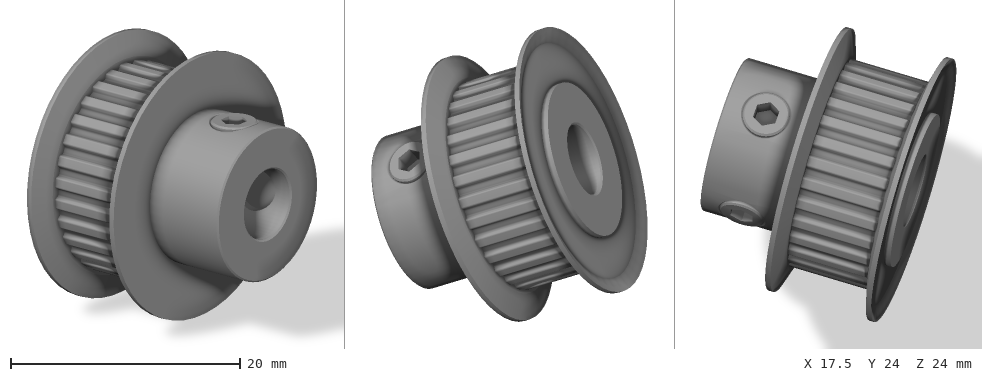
import cadquery as cq
import math

total_length = 17.47
front_rim_start = 0.15
toothed_start = 1.25
toothed_end = 8.62
rim_width = 0.48
front_rim_end = front_rim_start + rim_width
rear_rim_start = 9.38
rear_rim_end = rear_rim_start + rim_width

flange_radius = 12.0
flange_cone_radius = 9.8
recess_floor_radius = 10.68
hub_radius = 6.95
bore_radius = 3.2
hub_chamfer = 0.15
bore_chamfer = 0.15

tooth_count = 30
tooth_radius = 9.45
groove_depth = 0.43
groove_floor_half_width = 0.2
groove_fillet = 0.18
groove_wall_slope = math.radians(60)

screw_angles = (0, 90)
screw_x = 13.68
screw_radius = 2.06
screw_chamfer_width = 0.17
screw_chamfer_height = 0.15
hole_chamfer = 0.15
socket_across_flats = 2.05
socket_depth = 1.68


def revolve_about_x(outline):
    """Turn a closed list of (x, radius) points into a solid of revolution about X."""
    return cq.Workplane("XZ").polyline(outline).close().revolve(360, (0, 0, 0), (1, 0, 0))


def turn_about_x(body, angle):
    return body.rotate((0, 0, 0), (1, 0, 0), angle)


def make_front_flange():
    """Dished disc: its rim is bent outward and its recessed floor lies level with the rim's inner edge."""
    return revolve_about_x([
        (front_rim_end, 0),
        (front_rim_end, recess_floor_radius),
        (front_rim_start, flange_radius),
        (front_rim_end, flange_radius),
        (toothed_start, flange_cone_radius),
        (toothed_start, 0),
    ])


def make_rear_flange():
    """Disc with a conical face toward the teeth and a flat face toward the hub."""
    return revolve_about_x([
        (toothed_end, 0),
        (toothed_end, flange_cone_radius),
        (rear_rim_start, flange_radius),
        (rear_rim_end, flange_radius),
        (rear_rim_end, 0),
    ])


def make_groove():
    """Cutter for the groove facing +Z: a trapezoid with rounded floor and rim corners."""
    fillet_run = groove_fillet * math.sin(groove_wall_slope)
    fillet_rise = groove_fillet * (1 - math.cos(groove_wall_slope))
    wall_rise = groove_depth - 2 * fillet_rise
    wall_low = groove_floor_half_width + fillet_run
    wall_high = wall_low + wall_rise / math.tan(groove_wall_slope)
    rim = wall_high + fillet_run
    rim_z = math.sqrt(tooth_radius**2 - rim**2)
    floor_z = rim_z - groove_depth
    return (
        cq.Workplane("YZ", origin=(toothed_start, 0, 0))
        .moveTo(-groove_floor_half_width, floor_z)
        .lineTo(groove_floor_half_width, floor_z)
        .radiusArc((wall_low, floor_z + fillet_rise), -groove_fillet)
        .lineTo(wall_high, rim_z - fillet_rise)
        .radiusArc((rim, rim_z), groove_fillet)
        .lineTo(rim, flange_cone_radius)
        .lineTo(-rim, flange_cone_radius)
        .lineTo(-rim, rim_z)
        .radiusArc((-wall_high, rim_z - fillet_rise), groove_fillet)
        .lineTo(-wall_low, floor_z + fillet_rise)
        .radiusArc((-groove_floor_half_width, floor_z), -groove_fillet)
        .close()
        .extrude(toothed_end - toothed_start)
    )


def make_toothed_rim():
    """Cylinder with evenly spaced grooves; a land points along +Z."""
    rim = (
        cq.Workplane("YZ", origin=(toothed_start, 0, 0))
        .circle(tooth_radius)
        .extrude(toothed_end - toothed_start)
    )
    groove = make_groove()
    pitch_angle = 360 / tooth_count
    for index in range(tooth_count):
        rim = rim.cut(turn_about_x(groove, (index + 0.5) * pitch_angle))
    return rim


def make_hub():
    """Core running the full length, with a chamfered hole from its axis for each set screw."""
    hub = (
        cq.Workplane("YZ")
        .circle(hub_radius)
        .extrude(total_length)
        .faces(">X")
        .chamfer(hub_chamfer)
    )
    hole = cq.Workplane("XY").center(screw_x, 0).circle(screw_radius).extrude(2 * hub_radius)
    for angle in screw_angles:
        hub = hub.cut(turn_about_x(hole, -angle))
    return hub.edges("%BSPLINE").chamfer(hole_chamfer)


def make_bore():
    """Cutter for the through bore, chamfered at both ends."""
    mouth_radius = bore_radius + bore_chamfer
    return revolve_about_x([
        (0, 0),
        (0, mouth_radius),
        (bore_chamfer, bore_radius),
        (total_length - bore_chamfer, bore_radius),
        (total_length, mouth_radius),
        (total_length, 0),
    ])


def make_pulley():
    """Hub, toothed rim and both flanges as one solid."""
    return (
        make_hub()
        .union(make_toothed_rim())
        .union(make_front_flange())
        .union(make_rear_flange())
        .cut(make_bore())
    )


def make_set_screw():
    """Screw along +Z from the bore to the top of the hub, with a chamfered, socketed end."""
    socket_across_corners = socket_across_flats / math.cos(math.pi / 6)
    return (
        cq.Workplane("XY", origin=(screw_x, 0, bore_radius))
        .circle(screw_radius)
        .extrude(hub_radius - bore_radius)
        .faces(">Z")
        .chamfer(screw_chamfer_height, screw_chamfer_width)
        .faces(">Z")
        .workplane()
        .transformed(rotate=(0, 0, 90))
        .polygon(6, socket_across_corners)
        .cutBlind(-socket_depth)
    )


pulley = make_pulley()
set_screws = [turn_about_x(make_set_screw(), -angle) for angle in screw_angles]
result = cq.Compound.makeCompound([pulley.val(), *[screw.val() for screw in set_screws]])